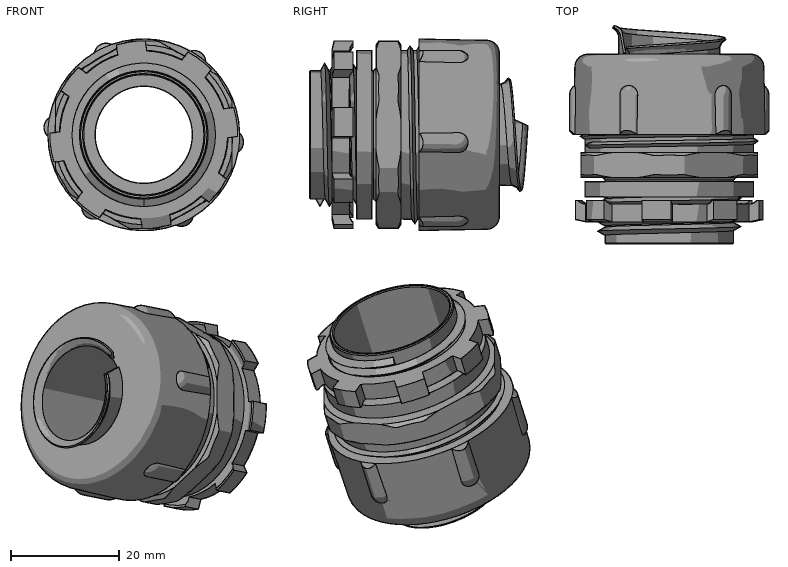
import cadquery as cq


stub_dia = 23.7
stub_bore_dia = 22.2
stub_bore_depth = 12.75
stub_mouth_chamfer = 0.2
stub_bore_chamfer = 0.2

ring_dia = 31.2
ring_start = 8.7
ring_end = 11.55

hex_start = 12.3
hex_end = 16.85
hex_across_flats = 32.65
hex_across_corners = 34.57
hex_corner_fillet = 2.2
hex_rim_dia = 35.1
hex_end_dia = 33.15
hex_chamfer_length = 0.6
hex_neck_chamfer = 0.5
neck_dia = 31.2

cap_start = 20.2
cap_end = 35.05
cap_mouth_dia = 35.4
cap_shoulder_dia = 34.85
cap_fillet = 2.42
rib_count = 6
rib_radius = 2.18
rib_center_radius = 16.3
rib_length = 9.45
rib_first_angle = 4.7
rib_mouth_chamfer = 0.8

thread_pitch = 1.75
thread_half_width = 0.85
thread_embed = 0.15
stub_thread_dia = 26.45
stub_thread_start = 1.95
stub_thread_start_angle = 90.0
stub_thread_turns = 4.75
cap_thread_dia = 32.88
cap_thread_half_width = 0.65
cap_thread_start = 18.25
cap_thread_start_angle = -160.0
cap_thread_turns = 1.5

ferrule_bore_dia = 17.9
ferrule_dia = 18.7
ferrule_bore_stock = 0.2
flare_dia = 20.9
flare_height = 1.75
lip_drop = 0.32
rim_pitch = 4.3
rim_start = 36.4
rim_end = 40.35
rim_start_angle = -140.0
rim_sweep_angle = 346.0
ferrule_wall_height = 5.65
slit_base = (4.1, cap_end)
slit_top = (1.65, rim_end)
slit_far_side = 5.85

nut_start = 4.1
nut_end = 8.05
nut_body_end = 7.4
nut_hole_dia = 26.0
nut_body_dia = 30.95
lug_dia = 34.65
lug_count = 8
lug_width = 5.4
lug_first_angle = -8.0
lug_front_bevel = 0.4
lug_tip_land = 0.4
lug_hook_sag = 0.15

margin = 0.4


def revolve_outline(points):
    """Turn a closed radius-height outline around the Z axis."""
    return cq.Workplane("XZ").polyline(points).close().revolve(360, (0, 0, 0), (0, 1, 0))


def cylinder(dia, start, end):
    return cq.Workplane("XY").workplane(offset=start).circle(dia / 2).extrude(end - start)


def turn_to_y(body):
    """Turn the working Z axis onto +Y."""
    return body.rotate((0, 0, 0), (1, 0, 0), -90)


def make_thread(root_dia, crest_dia, half_width, start, start_angle, turns):
    """Sharp right-handed V thread that sinks a little into its root cylinder."""
    base = root_dia / 2 - thread_embed
    helix = cq.Wire.makeHelix(thread_pitch, thread_pitch * turns, root_dia / 2)
    profile = [(base, -half_width), (crest_dia / 2, 0), (base, half_width)]
    ridge = cq.Workplane("XZ").polyline(profile).close().sweep(helix, isFrenet=True)
    return ridge.rotate((0, 0, 0), (0, 0, 1), start_angle).translate((0, 0, start))


def make_stub():
    stub = cylinder(stub_dia, 0, hex_start + margin)
    stub = stub.faces("<Z").chamfer(stub_mouth_chamfer)
    ring = cylinder(ring_dia, ring_start, ring_end)
    collar = revolve_outline([
        (0, hex_start - hex_neck_chamfer),
        (stub_dia / 2, hex_start - hex_neck_chamfer),
        (stub_dia / 2 + hex_neck_chamfer, hex_start),
        (0, hex_start),
    ])
    return stub.union(ring).union(collar)


def make_stub_thread():
    return make_thread(stub_dia, stub_thread_dia, thread_half_width, stub_thread_start,
                       stub_thread_start_angle, stub_thread_turns)


def make_stub_bore():
    """Blank that cuts the stub bore and breaks its mouth edge."""
    radius = stub_bore_dia / 2
    return revolve_outline([
        (0, 0),
        (radius + stub_bore_chamfer, 0),
        (radius, stub_bore_chamfer),
        (radius, stub_bore_depth),
        (0, stub_bore_depth),
    ])


def make_hex():
    length = hex_end - hex_start
    base = cq.Workplane("XY").workplane(offset=hex_start)
    flats = base.polygon(6, hex_across_flats, circumscribed=True).extrude(length)
    corners = base.polygon(6, hex_across_corners, circumscribed=True).extrude(length)
    corners = corners.rotate((0, 0, 0), (0, 0, 1), 30)
    prism = flats.intersect(corners).edges("|Z").fillet(hex_corner_fillet)
    rim = hex_rim_dia / 2
    end_rim = hex_end_dia / 2
    envelope = revolve_outline([
        (0, hex_start),
        (end_rim, hex_start),
        (rim, hex_start + hex_chamfer_length),
        (rim, hex_end - hex_chamfer_length),
        (end_rim, hex_end),
        (0, hex_end),
    ])
    return prism.intersect(envelope)


def make_cap():
    """Slightly tapered cap with a rounded back edge and round-ended grip ribs."""
    cap = revolve_outline([
        (0, cap_start),
        (cap_mouth_dia / 2, cap_start),
        (cap_shoulder_dia / 2, cap_end),
        (0, cap_end),
    ]).faces(">Z").edges().fillet(cap_fillet)
    rib_end = cap_start + rib_length - rib_radius
    rib = cylinder(2 * rib_radius, cap_start, rib_end)
    rib = rib.union(cq.Workplane("XY").sphere(rib_radius).translate((0, 0, rib_end)))
    rib = rib.translate((rib_center_radius, 0, 0))
    mouth_radius = cap_mouth_dia / 2
    rib = rib.cut(revolve_outline([
        (mouth_radius, cap_start),
        (mouth_radius + rib_mouth_chamfer, cap_start + rib_mouth_chamfer),
        (mouth_radius + 2 * rib_mouth_chamfer, cap_start),
    ]))
    for i in range(rib_count):
        cap = cap.union(rib.rotate((0, 0, 0), (0, 0, 1), rib_first_angle + i * 360 / rib_count))
    return cap


def make_ferrule():
    """Tube wall with a trumpet rim swept along a helix; a slanted slit parts its two ends."""
    inner = ferrule_bore_dia / 2 - ferrule_bore_stock
    outer = ferrule_dia / 2
    lip = flare_dia / 2
    wall = (ferrule_dia - ferrule_bore_dia) / 2
    helix = cq.Wire.makeHelix(rim_pitch, rim_pitch * rim_sweep_angle / 360, outer)
    ferrule = (
        cq.Workplane("XZ")
        .moveTo(inner, -ferrule_wall_height)
        .lineTo(inner, -flare_height)
        .threePointArc((outer - wall / 4, -flare_height / 3), (lip - wall / 2, 0))
        .lineTo(lip, -lip_drop)
        .threePointArc((outer + wall, -flare_height / 2), (outer, -flare_height))
        .lineTo(outer, -ferrule_wall_height)
        .close()
        .sweep(helix, isFrenet=True)
        .rotate((0, 0, 0), (0, 0, 1), rim_start_angle)
        .translate((0, 0, rim_start))
    )
    slit_ceiling = rim_end + margin
    slit = (
        cq.Workplane("YZ")
        .polyline([
            (-slit_base[0], slit_base[1]),
            (-slit_top[0], slit_top[1]),
            (-slit_top[0], slit_ceiling),
            (-slit_far_side, slit_ceiling),
            (-slit_far_side, slit_base[1]),
        ])
        .close()
        .extrude(-flare_dia)
    )
    return ferrule.cut(slit)


def make_fitting():
    cap_thread = make_thread(neck_dia, cap_thread_dia, cap_thread_half_width, cap_thread_start,
                             cap_thread_start_angle, cap_thread_turns)
    neck = cylinder(neck_dia, hex_end - margin, cap_start + margin).union(cap_thread)
    fitting = make_cap().union(neck).union(make_ferrule())
    fitting = fitting.union(make_hex()).union(make_stub()).union(make_stub_thread())
    fitting = fitting.cut(make_stub_bore())
    return fitting.cut(cylinder(ferrule_bore_dia, stub_bore_depth, rim_end + margin))


def make_lock_nut():
    """Plain ring with lugs whose tips hook backward past the ring."""
    body_radius = nut_body_dia / 2
    tip_radius = lug_dia / 2
    hole_radius = nut_hole_dia / 2
    nut = cylinder(nut_body_dia, nut_start, nut_body_end)
    root = (hole_radius + body_radius) / 2
    hook_middle = (
        (tip_radius - lug_tip_land + body_radius) / 2,
        (nut_end + nut_body_end) / 2 - lug_hook_sag,
    )
    collar = (
        cq.Workplane("XZ")
        .moveTo(root, nut_start)
        .lineTo(body_radius, nut_start)
        .lineTo(tip_radius, nut_start + lug_front_bevel)
        .lineTo(tip_radius, nut_end)
        .lineTo(tip_radius - lug_tip_land, nut_end)
        .threePointArc(hook_middle, (body_radius, nut_body_end))
        .lineTo(root, nut_body_end)
        .close()
        .revolve(360, (0, 0, 0), (0, 1, 0))
    )
    lug_block = (
        cq.Workplane("XY")
        .box(tip_radius, lug_width, nut_end - nut_start, centered=(False, True, False))
        .translate((root, 0, nut_start))
    )
    lug = collar.intersect(lug_block)
    for i in range(lug_count):
        nut = nut.union(lug.rotate((0, 0, 0), (0, 0, 1), lug_first_angle + i * 360 / lug_count))
    return nut.cut(cylinder(nut_hole_dia, nut_start, nut_end)).cut(make_stub_thread())


fitting = turn_to_y(make_fitting())
lock_nut = turn_to_y(make_lock_nut())

result = cq.Compound.makeCompound([fitting.val(), lock_nut.val()])